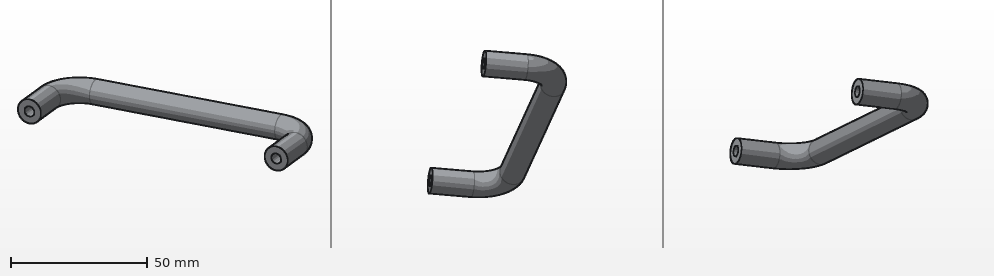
import cadquery as cq
import math

overall_width = 111.1
overall_depth = 33.0
rod_diameter = 9.6
bend_radius = 12.7
hole_diameter = 4.0
hole_depth = 12.2
drill_point_angle = 118.0

rod_radius = rod_diameter / 2
hole_radius = hole_diameter / 2
leg_x = overall_width / 2 - rod_radius
grip_y = overall_depth - rod_radius
leg_length = grip_y - bend_radius
grip_half_length = leg_x - bend_radius
drill_point_depth = hole_radius / math.tan(math.radians(drill_point_angle / 2))


def make_handle():
    """Sweep the round rod along a leg, a bend, the grip, a bend and the other leg."""
    bend_offset = bend_radius * math.sin(math.radians(45))
    bend_mid_x = grip_half_length + bend_offset
    bend_mid_y = leg_length + bend_offset
    centreline = (
        cq.Workplane("XY")
        .moveTo(-leg_x, 0)
        .lineTo(-leg_x, leg_length)
        .threePointArc((-bend_mid_x, bend_mid_y), (-grip_half_length, grip_y))
        .lineTo(grip_half_length, grip_y)
        .threePointArc((bend_mid_x, bend_mid_y), (leg_x, leg_length))
        .lineTo(leg_x, 0)
    )
    return cq.Workplane("XZ").center(-leg_x, 0).circle(rod_radius).sweep(centreline)


def make_mounting_hole(x):
    """Blind drilled hole entering a leg's end face, with a conical bottom."""
    return (
        cq.Workplane("XY")
        .center(x, 0)
        .polyline([
            (0, 0),
            (hole_radius, 0),
            (hole_radius, hole_depth),
            (0, hole_depth + drill_point_depth),
        ])
        .close()
        .revolve(360, (0, 0), (0, 1))
    )


result = make_handle()
for hole_x in (-leg_x, leg_x):
    result = result.cut(make_mounting_hole(hole_x))